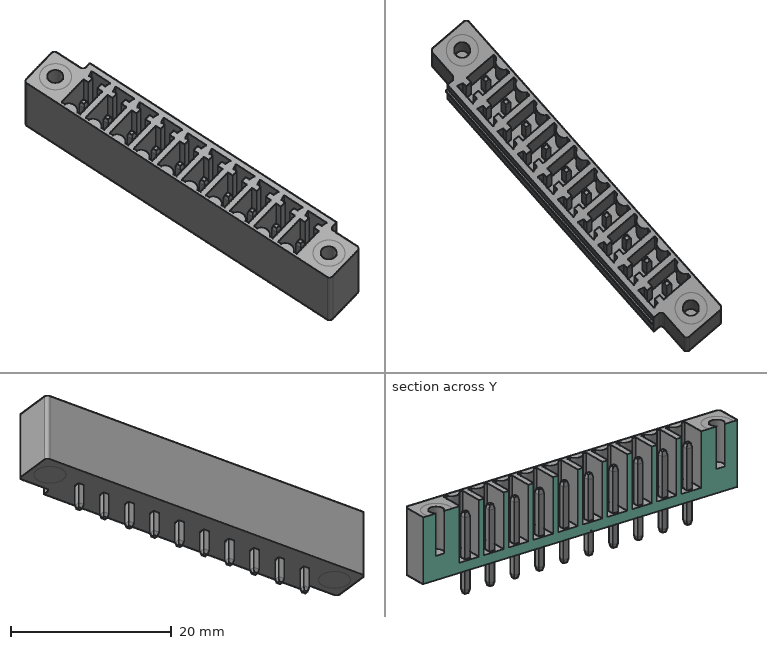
import cadquery as cq

LENGTH = 48.5
HEIGHT = 9.2
EAR_DEPTH = 6.0
CORNER_RADIUS = 0.5

BLOCK_LENGTH = 39.1
BLOCK_DEPTH = 7.25

RIB_PROJECTION = 0.3
RIB_HEIGHT = 0.6
RIB_BOTTOM = 5.7

CONTACT_COUNT = 10
ROW_SPAN = 34.3
PITCH = ROW_SPAN / (CONTACT_COUNT - 1)
ROW_Y = 3.0
CONTACT_XS = [i * PITCH - ROW_SPAN / 2 for i in range(CONTACT_COUNT)]

POCKET_WIDTH = 2.95
POCKET_FRONT = 0.45
POCKET_BACK = 6.45
NECK_WIDTH = 1.4
NECK_FRONT = 4.85
NECK_BACK = 5.65
DOVETAIL_WIDTH = 2.55
POCKET_DEPTH = 7.75
KEY_WIDTH = 1.95
KEY_PROJECTION = 0.65

PIN_WIDTH = 0.82
PIN_TIP_WIDTH = 0.55
PIN_TAPER = 0.6
PIN_BELOW = 3.4
PIN_TOP_RECESS = 1.45

INSERT_SPACING = 43.3
INSERT_DIAMETER = 4.0
INSERT_BORE = 2.0
INSERT_BORE_DEPTH = 5.8


def make_housing():
    """Rounded bar with a deeper centre block and a thin rib along its back."""
    bar = cq.Workplane("XY").rect(LENGTH, EAR_DEPTH).extrude(HEIGHT)
    bar = bar.translate((0, EAR_DEPTH / 2, 0)).edges("|Z").fillet(CORNER_RADIUS)
    block = cq.Workplane("XY").box(BLOCK_LENGTH, BLOCK_DEPTH, HEIGHT, centered=(True, False, False))
    housing = bar.union(block)
    for side in (-1, 1):
        inner_corner = (side * BLOCK_LENGTH / 2, EAR_DEPTH, HEIGHT / 2)
        housing = housing.edges(cq.selectors.NearestToPointSelector(inner_corner)).fillet(CORNER_RADIUS)
    rib = cq.Workplane("XY").box(
        BLOCK_LENGTH, BLOCK_DEPTH / 2 + RIB_PROJECTION, RIB_HEIGHT, centered=(True, False, False)
    )
    return housing.union(rib.translate((0, BLOCK_DEPTH / 2, RIB_BOTTOM)))


def make_pocket():
    """Cavity open at the top: wide chamber, narrow neck and dovetail, with a rounded key at the front."""
    half_pocket = POCKET_WIDTH / 2
    half_neck = NECK_WIDTH / 2
    half_dovetail = DOVETAIL_WIDTH / 2
    half_key = KEY_WIDTH / 2
    return (
        cq.Workplane("XY", origin=(0, 0, HEIGHT - POCKET_DEPTH))
        .moveTo(-half_key, POCKET_FRONT)
        .threePointArc((0, POCKET_FRONT + KEY_PROJECTION), (half_key, POCKET_FRONT))
        .lineTo(half_pocket, POCKET_FRONT)
        .lineTo(half_pocket, NECK_FRONT)
        .lineTo(half_neck, NECK_FRONT)
        .lineTo(half_neck, NECK_BACK)
        .lineTo(half_dovetail, NECK_BACK)
        .lineTo(half_pocket, POCKET_BACK)
        .lineTo(-half_pocket, POCKET_BACK)
        .lineTo(-half_dovetail, NECK_BACK)
        .lineTo(-half_neck, NECK_BACK)
        .lineTo(-half_neck, NECK_FRONT)
        .lineTo(-half_pocket, NECK_FRONT)
        .lineTo(-half_pocket, POCKET_FRONT)
        .close()
        .extrude(POCKET_DEPTH)
    )


def make_pin():
    """Square pin standing on the row line, tapered at both ends."""
    shank_bottom = PIN_TAPER - PIN_BELOW
    shank_top = HEIGHT - PIN_TOP_RECESS - PIN_TAPER

    def tip(start_z, direction):
        return (
            cq.Workplane("XY", origin=(0, ROW_Y, start_z))
            .rect(PIN_WIDTH, PIN_WIDTH)
            .workplane(offset=direction * PIN_TAPER)
            .rect(PIN_TIP_WIDTH, PIN_TIP_WIDTH)
            .loft()
        )

    shank = (
        cq.Workplane("XY", origin=(0, ROW_Y, shank_bottom))
        .rect(PIN_WIDTH, PIN_WIDTH)
        .extrude(shank_top - shank_bottom)
    )
    return shank.union(tip(shank_bottom, -1)).union(tip(shank_top, 1))


def make_insert():
    """Round insert, flush with the top and the underside, with a blind bore from the top."""
    insert = cq.Workplane("XY").circle(INSERT_DIAMETER / 2).extrude(HEIGHT)
    return insert.faces(">Z").workplane().hole(INSERT_BORE, INSERT_BORE_DEPTH)


housing = make_housing()
pocket = make_pocket()
pin = make_pin()
for x in CONTACT_XS:
    housing = housing.cut(pocket.translate((x, 0, 0)))
    housing = housing.union(pin.translate((x, 0, 0)))

insert_centers = [(side * INSERT_SPACING / 2, ROW_Y) for side in (-1, 1)]
seats = cq.Workplane("XY").pushPoints(insert_centers).circle(INSERT_DIAMETER / 2).extrude(HEIGHT)
result = housing.cut(seats)
for x, y in insert_centers:
    result = result.union(make_insert().translate((x, y, 0)), clean=False)